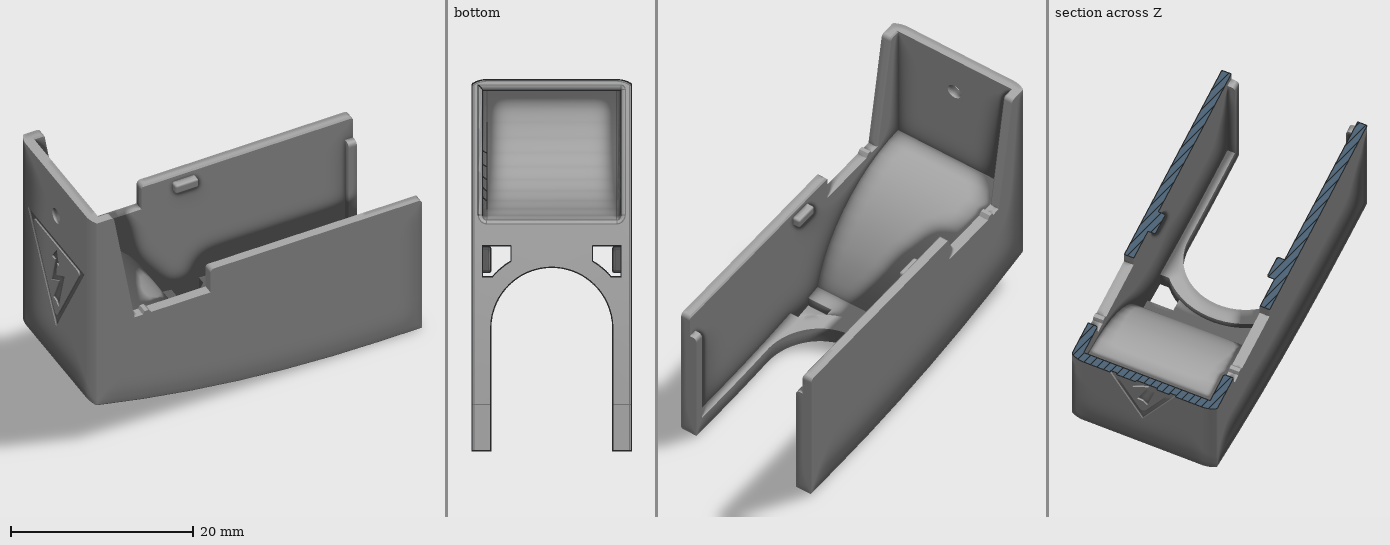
import cadquery as cq
import math


WIDTH = 17.5
LENGTH = 40.7
HEIGHT = 29.9
WALL = 1.2
INNER_HALF = WIDTH / 2 - WALL

BELLY_Y = 35.6
FRONT_RISE = 4.27
BELLY_RADIUS = (BELLY_Y**2 + FRONT_RISE**2) / (2 * FRONT_RISE)
UNDERSIDE_FILLET = 0.25
OVERSHOOT = 0.8
ON_SURFACE = 0.005

SIDE_TOP = 18.15
LEDGE_Z = 14.95
LEDGE_REAR_Y = 14.55
PILLAR_FOOT_Y = 5.13
PILLAR_TOP_Y = 2.55
TOP_FILLET = 0.5
INNER_EDGE_CHAMFER = 0.15

RIDGE_FOOT = (6.2, 7.2)
RIDGE_CREST = (6.4, 6.85)
RIDGE_HEIGHT = 0.4

CORNER_WIDTH = 1.5
CORNER_DEPTH = 0.5
CORNER_RADIUS = 3.05
CORNER_FILLET = 0.3

FLOOR = WALL
FLOOR_END_Y = 18.25
TONGUE_HALF = 4.48
DOME_RADIUS = 15.75
DOME_CENTRE_Z = -1.45
POCKET_FILLET = 0.45
MOUTH_FILLET = 0.5

PLATE = 2.0
PLATE_FRONT_Y = 21.6
SLOT_RADIUS = 6.67
SLOT_CENTRE_Y = 27.25
RIM_RADIUS = 8.63

POST_LENGTH = 1.0
POST_TOP = 15.25
POST_FILLET = 0.5
NUB_Y = (18.3, 21.15)
NUB_CENTRE_Z = 16.75
NUB_HEIGHT = 1.15
NUB_FILLET = 0.25

HOLE_DIAMETER = 1.85
HOLE_Z = 24.9
ENGRAVE_DEPTH = 0.2
TRIANGLE_HALF = 6.7
TRIANGLE_TOP = 21.4
TRIANGLE_TIP = 9.3
TRIANGLE_LINE = 0.6
TRIANGLE_FILLET = 0.4
BOLT_OUTLINE = [
    (0.15, 20.23), (-1.0, 18.55), (-0.3, 18.55), (-1.2, 15.1), (0.7, 16.2), (-0.65, 13.02),
    (0.05, 12.95), (0.55, 12.4), (2.05, 17.8), (0.05, 16.6), (0.25, 18.4), (0.7, 18.27),
]


def block(x, y, z):
    """Box spanning the given (low, high) ranges."""
    size = (x[1] - x[0], y[1] - y[0], z[1] - z[0])
    return cq.Workplane("XY").box(*size, centered=False).translate((x[0], y[0], z[0]))


def across(half_width):
    """Sketch plane for Y-Z outlines that are extruded from -half_width to +half_width."""
    return cq.Workplane("YZ", origin=(-half_width, 0, 0))


def belly_z(y, offset=0.0):
    """Height at y of the underside curve moved inward by offset."""
    if y >= BELLY_Y:
        return offset
    radius = BELLY_RADIUS - offset
    return BELLY_RADIUS - math.sqrt(radius**2 - (BELLY_Y - y) ** 2)


def space_above_belly(half_width, offset=0.0):
    """Everything above the underside curve moved inward by offset, up to the full height."""
    middle_y = BELLY_Y / 2
    return (
        across(half_width)
        .moveTo(-OVERSHOOT, belly_z(-OVERSHOOT, offset))
        .threePointArc((middle_y, belly_z(middle_y, offset)), (BELLY_Y, offset))
        .lineTo(LENGTH, offset)
        .lineTo(LENGTH, HEIGHT)
        .lineTo(-OVERSHOOT, HEIGHT)
        .close()
        .extrude(2 * half_width)
    )


def floor_layer(thickness):
    """Curved layer of even thickness that fills the space between the side walls."""
    return space_above_belly(INNER_HALF).cut(space_above_belly(INNER_HALF, thickness))


def on_underside(edge):
    """True if the edge lies on the curved underside."""
    points = [edge.positionAt(t) for t in (0, 0.5, 1)]
    return all(abs(p.z - belly_z(p.y)) < ON_SURFACE for p in points)


class OuterUndersideEdges(cq.Selector):
    """Underside edges along the front and both sides, without the edges across the rear."""

    def filter(self, edges):
        chosen = []
        for edge in edges:
            middle = edge.positionAt(0.5)
            crosses_rear = abs(middle.x) < ON_SURFACE and middle.y > WALL
            if on_underside(edge) and not crosses_rear:
                chosen.append(edge)
        return chosen


class PocketMouthEdges(cq.Selector):
    """Underside edges around the mouth of the pocket."""

    def filter(self, edges):
        chosen = []
        for edge in edges:
            middle = edge.positionAt(0.5)
            beside_mouth = abs(middle.x) < INNER_HALF + ON_SURFACE
            along_mouth = WALL - ON_SURFACE < middle.y < WALL + DOME_RADIUS - FLOOR
            if on_underside(edge) and beside_mouth and along_mouth:
                chosen.append(edge)
        return chosen


def side_profile():
    """Side outline with its rounded upper corners, wider than the part."""
    above = space_above_belly(WIDTH)
    behind_ledge = block((-WIDTH, WIDTH), (LEDGE_REAR_Y, LENGTH), (SIDE_TOP, HEIGHT))
    notch = (
        across(WIDTH)
        .moveTo(LEDGE_REAR_Y, LEDGE_Z)
        .lineTo(PILLAR_FOOT_Y, LEDGE_Z)
        .lineTo(PILLAR_TOP_Y, HEIGHT)
        .lineTo(LEDGE_REAR_Y, HEIGHT)
        .close()
        .extrude(2 * WIDTH)
    )
    profile = above.cut(behind_ledge).cut(notch)
    for y, z in ((LENGTH, SIDE_TOP), (LEDGE_REAR_Y, SIDE_TOP), (PILLAR_TOP_Y, HEIGHT)):
        corner = cq.selectors.NearestToPointSelector((0, y, z))
        profile = profile.edges(corner).fillet(TOP_FILLET)
    return profile


def plan_outline():
    """Plan outline with the two rounded front corners, at full height."""
    half = WIDTH / 2
    flat_half = half - CORNER_WIDTH
    plan = (
        cq.Workplane("XY")
        .moveTo(-flat_half, 0)
        .lineTo(flat_half, 0)
        .radiusArc((half, CORNER_DEPTH), -CORNER_RADIUS)
        .lineTo(half, LENGTH)
        .lineTo(-half, LENGTH)
        .lineTo(-half, CORNER_DEPTH)
        .radiusArc((-flat_half, 0), -CORNER_RADIUS)
        .close()
        .extrude(HEIGHT)
    )
    for side in (-1, 1):
        corner = cq.selectors.NearestToPointSelector((side * half, CORNER_DEPTH, HEIGHT / 2))
        plan = plan.edges(corner).fillet(CORNER_FILLET)
    return plan


def outer_body():
    """Solid outer shape, rounded along the underside at the front and both sides."""
    body = side_profile().intersect(plan_outline())
    return body.edges(OuterUndersideEdges()).fillet(UNDERSIDE_FILLET)


def wall_top_bevel():
    """Wedge along the inner top edge of the +X wall."""
    return (
        cq.Workplane("XZ", origin=(0, LENGTH, 0))
        .moveTo(INNER_HALF, SIDE_TOP)
        .lineTo(INNER_HALF + INNER_EDGE_CHAMFER, SIDE_TOP)
        .lineTo(INNER_HALF, SIDE_TOP - INNER_EDGE_CHAMFER)
        .close()
        .extrude(LENGTH - LEDGE_REAR_Y)
    )


def walls():
    """Front and side walls with bevelled inner top edges, open elsewhere."""
    shell = outer_body().cut(block((-INNER_HALF, INNER_HALF), (WALL, LENGTH), (0, HEIGHT)))
    shell = shell.cut(wall_top_bevel()).cut(wall_top_bevel().mirror("YZ"))
    pillar_y = (PILLAR_FOOT_Y + PILLAR_TOP_Y) / 2
    pillar_z = (LEDGE_Z + HEIGHT) / 2
    for x in (-INNER_HALF, INNER_HALF):
        slant = cq.selectors.NearestToPointSelector((x, pillar_y, pillar_z))
        shell = shell.edges(slant).chamfer(INNER_EDGE_CHAMFER)
    return shell


def dome(radius):
    """Quarter-round bulge that leans on the inside of the front wall."""
    return (
        across(INNER_HALF)
        .moveTo(WALL, DOME_CENTRE_Z)
        .lineTo(WALL + radius, DOME_CENTRE_Z)
        .radiusArc((WALL, DOME_CENTRE_Z + radius), -radius)
        .close()
        .extrude(2 * INNER_HALF)
    )


def front_floor():
    """Thin front floor with a tongue under the rear plate, and the dome."""
    tongue_end_y = SLOT_CENTRE_Y - SLOT_RADIUS
    full = block((-INNER_HALF, INNER_HALF), (WALL, FLOOR_END_Y), (0, HEIGHT))
    tongue = block((-TONGUE_HALF, TONGUE_HALF), (WALL, tongue_end_y), (0, HEIGHT))
    return floor_layer(FLOOR).intersect(full.union(tongue)).union(dome(DOME_RADIUS))


def rear_plate():
    """Thick plate whose front edge follows a rim around the cable opening."""
    rim = cq.Workplane("XY").center(0, SLOT_CENTRE_Y).circle(RIM_RADIUS).extrude(HEIGHT)
    rim = rim.intersect(block((-INNER_HALF, INNER_HALF), (0, LENGTH), (0, HEIGHT)))
    rear = block((-INNER_HALF, INNER_HALF), (PLATE_FRONT_Y, LENGTH), (0, HEIGHT))
    return floor_layer(PLATE).intersect(rear.union(rim))


def cable_slot():
    """U-shaped opening that runs out through the rear."""
    bore = cq.Workplane("XY").center(0, SLOT_CENTRE_Y).circle(SLOT_RADIUS).extrude(HEIGHT)
    return bore.union(block((-SLOT_RADIUS, SLOT_RADIUS), (SLOT_CENTRE_Y, LENGTH), (0, HEIGHT)))


def pocket():
    """Hollow under the dome, open downward."""
    return dome(DOME_RADIUS - FLOOR).edges("%CIRCLE").fillet(POCKET_FILLET)


def post():
    """Upright stop at the rear end of the +X wall."""
    bar = block((SLOT_RADIUS, INNER_HALF), (LENGTH - POST_LENGTH, LENGTH), (PLATE / 2, POST_TOP))
    return bar.edges("<X and >Z").fillet(POST_FILLET)


def nub():
    """Rounded snap nub on the +X wall."""
    bottom = NUB_CENTRE_Z - NUB_HEIGHT / 2
    bar = block((SLOT_RADIUS, INNER_HALF), NUB_Y, (bottom, bottom + NUB_HEIGHT))
    return bar.edges("not >X").fillet(NUB_FILLET)


def ridge():
    """Ridge across the +X ledge."""
    crest_z = LEDGE_Z + RIDGE_HEIGHT
    return (
        cq.Workplane("YZ", origin=(INNER_HALF, 0, 0))
        .moveTo(RIDGE_FOOT[0], LEDGE_Z)
        .lineTo(RIDGE_CREST[0], crest_z)
        .lineTo(RIDGE_CREST[1], crest_z)
        .lineTo(RIDGE_FOOT[1], LEDGE_Z)
        .close()
        .extrude(WALL)
    )


def front_sketch():
    """Sketch on the front face; a negative extrusion goes into the wall."""
    return cq.Workplane("XZ")


def front_hole():
    return front_sketch().center(0, HOLE_Z).circle(HOLE_DIAMETER / 2).extrude(-WALL)


def triangle_groove():
    """Groove between a sharp outer triangle and a rounded inner one."""
    corners = [(-TRIANGLE_HALF, TRIANGLE_TOP), (TRIANGLE_HALF, TRIANGLE_TOP), (0, TRIANGLE_TIP)]
    outer = front_sketch().polyline(corners).close().extrude(-ENGRAVE_DEPTH)
    inner = front_sketch().polyline(corners).close().offset2D(-TRIANGLE_LINE, "intersection")
    island = inner.extrude(-ENGRAVE_DEPTH).edges("|Y").fillet(TRIANGLE_FILLET)
    return outer.cut(island)


def bolt_engraving():
    return front_sketch().polyline(BOLT_OUTLINE).close().extrude(-ENGRAVE_DEPTH)


base = front_floor().union(rear_plate()).intersect(space_above_belly(INNER_HALF))
body = walls().union(base).cut(cable_slot()).cut(pocket())
body = body.edges(PocketMouthEdges()).fillet(MOUTH_FILLET)

for detail in (post(), nub(), ridge()):
    body = body.union(detail).union(detail.mirror("YZ"))

result = body.cut(front_hole()).cut(triangle_groove()).cut(bolt_engraving())